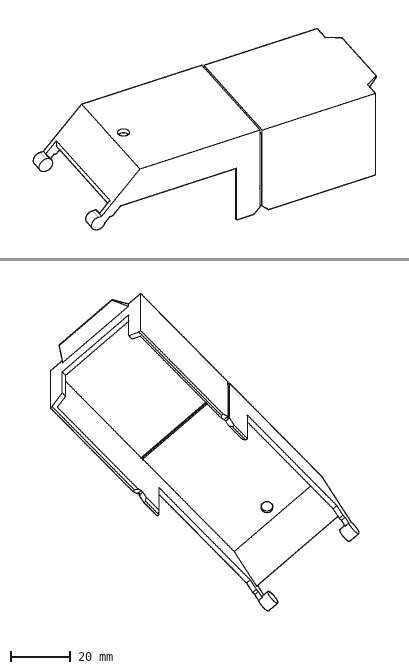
import cadquery as cq

width = 41.0
length = 112.7
height = 34.5
wall = 1.7
inner_width = width - 2 * wall

cover_back = 64.0
leg_front = 55.1
slope_start = 18.4
skirt_depth = 12.9
lip_y = 7.9
slope_lip_height = 2.3
hole_diameter = 4.0
hole_y = 23.2
inner_bevel = 0.9

pin_radius = 2.6
pin_length = 4.2
pin_flat_length = 1.4
pin_z = -17.1
arm_step_z = -15.9
arm_step_y = 7.0
arm_root_y = 11.0
arm_overlap = 2.4

box_front = 64.8
box_back = 107.9
box_top = -0.3
foot_chamfer = 2.4
window_width = 30.2
window_top = -10.7
window_flare = 4.6

tongue_base_width = 29.9
tongue_tip_width = 24.1
tongue_base_thickness = 2.3
tongue_tip_thickness = 0.7

strip_inset = 0.5
strip_top = -2.0


def side_profile(points, span):
    """Extrude a (Y, Z) outline symmetrically about X = 0."""
    return cq.Workplane("YZ").polyline(points).close().extrude(span / 2, both=True)


def block(x_limits, y_limits, z_limits):
    """Make a box from its lower and upper limits."""
    limits = (x_limits, y_limits, z_limits)
    sizes = [high - low for low, high in limits]
    corner = tuple(low for low, high in limits)
    return cq.Workplane("XY").box(*sizes, centered=False).translate(corner)


def make_front_cover():
    arm_end_y = slope_start + pin_z + pin_radius
    arm_drop = arm_root_y + skirt_depth + arm_step_z
    outer = side_profile(
        [
            (cover_back, 0),
            (slope_start, 0),
            (arm_end_y, arm_end_y - slope_start),
            (pin_radius, arm_end_y - slope_start),
            (pin_radius, pin_z),
            (arm_step_y - arm_overlap, arm_step_z - arm_overlap),
            (arm_step_y, arm_step_z),
            (arm_drop, arm_step_z),
            (arm_root_y, -skirt_depth),
            (leg_front, -skirt_depth),
            (leg_front, -height),
            (cover_back - foot_chamfer, -height),
            (cover_back, -height + foot_chamfer),
        ],
        width,
    )
    slope_inner_start = slope_start + slope_lip_height - wall
    slope_inner_end = lip_y - slope_start - slope_lip_height
    inside = side_profile(
        [
            (cover_back, -wall),
            (slope_inner_start, -wall),
            (lip_y, slope_inner_end),
            (lip_y, -height),
            (cover_back, -height),
        ],
        inner_width,
    )
    between_arms = block((-inner_width / 2, inner_width / 2), (0, lip_y), (-height, 0))
    hole = cq.Workplane("XY").center(0, hole_y).circle(hole_diameter / 2).extrude(-2 * wall)
    return outer.cut(inside).cut(between_arms).cut(hole)


def make_leg_bevel(side):
    """Wedge that thins the inner front edge of one leg."""
    inner_x = side * inner_width / 2
    return (
        cq.Workplane("XY", origin=(0, 0, -height))
        .polyline(
            [
                (inner_x, leg_front),
                (inner_x + side * inner_bevel, leg_front),
                (inner_x, leg_front + inner_bevel),
            ]
        )
        .close()
        .extrude(height - skirt_depth)
    )


def make_bottom_bevel(side):
    """Wedge that thins the inner bottom edge of both shells on one side."""
    inner_x = side * inner_width / 2
    return (
        cq.Workplane("XZ", origin=(0, box_back, 0))
        .polyline(
            [
                (inner_x, -height),
                (inner_x + side * inner_bevel, -height),
                (inner_x, -height + inner_bevel),
            ]
        )
        .close()
        .extrude(box_back - leg_front)
    )


def make_pin(side):
    start_x = width / 2 - pin_length if side > 0 else -width / 2
    pin = (
        cq.Workplane("YZ", origin=(start_x, 0, 0))
        .center(pin_radius, pin_z)
        .circle(pin_radius)
        .extrude(pin_length)
    )
    flat = block(
        (start_x, start_x + pin_length),
        (pin_radius, pin_radius + pin_flat_length),
        (pin_z, pin_z + pin_radius),
    )
    return pin.union(flat)


def make_rear_box():
    outer = side_profile(
        [
            (box_front, box_top),
            (box_back, box_top),
            (box_back, -height),
            (box_front + foot_chamfer, -height),
            (box_front, -height + foot_chamfer),
        ],
        width,
    )
    inside = block(
        (-inner_width / 2, inner_width / 2),
        (box_front, box_back - wall),
        (-height, box_top - wall),
    )
    half_window = window_width / 2
    window = (
        cq.Workplane("XZ", origin=(0, box_back, 0))
        .polyline(
            [
                (-half_window, window_top),
                (half_window, window_top),
                (half_window, -height + window_flare),
                (half_window + window_flare, -height),
                (-half_window - window_flare, -height),
                (-half_window, -height + window_flare),
            ]
        )
        .close()
        .extrude(wall)
    )
    return outer.cut(inside).cut(window)


def make_tongue():
    wedge = side_profile(
        [
            (box_back, box_top),
            (length, box_top),
            (length, box_top - tongue_tip_thickness),
            (box_back, box_top - tongue_base_thickness),
        ],
        tongue_base_width,
    )
    outline = (
        cq.Workplane("XY")
        .polyline(
            [
                (-tongue_base_width / 2, box_back),
                (tongue_base_width / 2, box_back),
                (tongue_tip_width / 2, length),
                (-tongue_tip_width / 2, length),
            ]
        )
        .close()
        .extrude(-height)
    )
    return wedge.intersect(outline)


def make_strip(side):
    edges = sorted((side * inner_width / 2, side * (width / 2 - strip_inset)))
    return block(edges, (cover_back, box_front), (-height + foot_chamfer, strip_top))


result = make_front_cover().union(make_rear_box()).union(make_tongue())
for side in (-1, 1):
    result = result.cut(make_leg_bevel(side))
    result = result.cut(make_bottom_bevel(side))
    result = result.union(make_pin(side))
    result = result.union(make_strip(side))